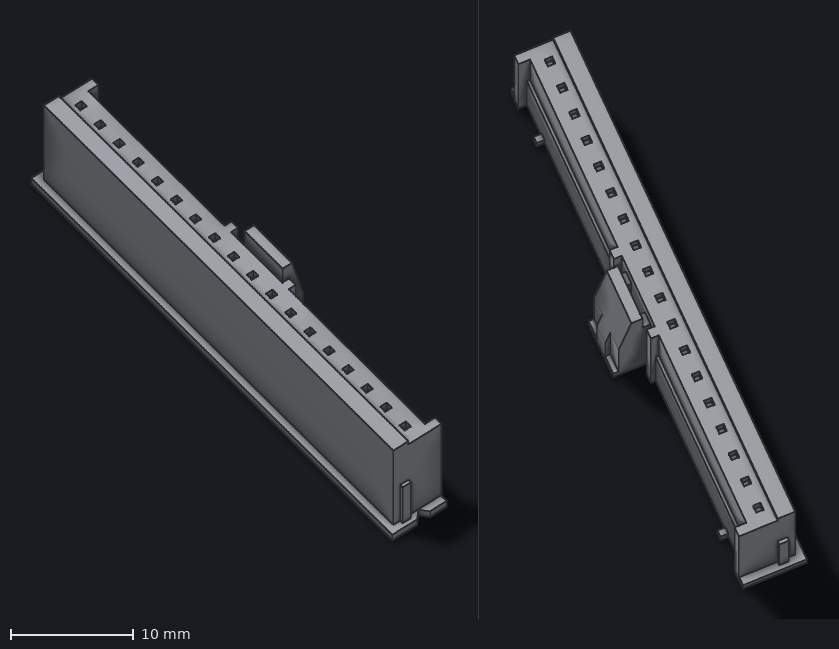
import cadquery as cq

length = 47.3
depth = 8.0
height = 10.5

flange_thickness = 0.75
flange_end_back = 5.68

body_length = 45.8
body_front = 0.7
body_back = 4.7
lip_back = 2.25
lip_height = 0.43
body_top = height - lip_height

wall_back = 4.95
wall_top = 5.45

post_width = 0.85
post_back = 5.7

contact_count = 18
contact_pitch = 2.497
contact_size = 0.65
contact_depth = 0.95
contact_y = 3.25

rib_thickness = 0.35
rib_front = 1.4
rib_top = wall_top
tab_width = 0.6
tab_x = 7.5 * contact_pitch

latch_width = 5.0
latch_front = 5.4
latch_top_back = 6.4
latch_slope_start = 3.6
relief_width = 1.65
relief_depth = 0.45
arm_width = 1.15
arm_top = 8.5
guide_width = 0.85
guide_x = 3.8

notch_half_width = 0.65
notch_depth = (length - body_length) / 2

body_end = body_length / 2


def block(x_limits, y_limits, z_limits):
    """Axis-aligned box given by its lower and upper limit on each axis."""
    limits = (x_limits, y_limits, z_limits)
    sizes = [upper - lower for lower, upper in limits]
    corner = tuple(lower for lower, upper in limits)
    return cq.Workplane("XY").box(*sizes, centered=False).translate(corner)


def centred(middle, width):
    """Lower and upper limit of a span about its middle."""
    return (middle - width / 2, middle + width / 2)


def make_flange():
    plate = block(centred(0, length), (0, flange_end_back), (0, flange_thickness))
    back_cut = block(centred(0, body_length), (wall_back, flange_end_back), (0, flange_thickness))
    notch = (
        cq.Workplane("XY")
        .moveTo(length / 2 - notch_depth, contact_y)
        .lineTo(length / 2, contact_y - notch_half_width)
        .lineTo(length / 2, contact_y + notch_half_width)
        .close()
        .extrude(flange_thickness)
    )
    return plate.cut(back_cut).cut(notch)


def make_body():
    core = block(centred(0, body_length), (body_front, body_back), (0, body_top))
    lip = block(centred(0, body_length), (body_front, lip_back), (body_top, height))
    wall = block(centred(0, body_length), (body_back, wall_back), (0, wall_top))
    return core.union(lip).union(wall)


def make_latch():
    latch = (
        cq.Workplane("YZ")
        .moveTo(latch_front, 0)
        .lineTo(depth, 0)
        .lineTo(depth, latch_slope_start)
        .lineTo(latch_top_back, height)
        .lineTo(latch_front, height)
        .close()
        .extrude(latch_width / 2, both=True)
    )
    for side in (-1, 1):
        relief_x = side * (latch_width - relief_width) / 2
        relief = block(
            centred(relief_x, relief_width), (depth - relief_depth, depth), (flange_thickness, height)
        )
        arm_x = side * (latch_width - arm_width) / 2
        arm = block(centred(arm_x, arm_width), (body_back, latch_front), (0, arm_top))
        latch = latch.cut(relief).union(arm)
    return latch


result = make_flange().union(make_body()).union(make_latch())

for side in (-1, 1):
    post_x = side * (body_end - post_width / 2)
    rib_x = side * (body_end + rib_thickness / 2)
    result = (
        result
        .union(block(centred(post_x, post_width), (body_front, post_back), (0, body_top)))
        .union(block(centred(rib_x, rib_thickness), (rib_front, lip_back), (0, rib_top)))
        .union(block(centred(side * tab_x, tab_width), (body_back, flange_end_back), (0, flange_thickness)))
        .union(block(centred(side * guide_x, guide_width), (body_back, latch_front), (0, body_top)))
    )

for index in range(contact_count):
    contact_x = (index - (contact_count - 1) / 2) * contact_pitch
    opening = block(
        centred(contact_x, contact_size),
        centred(contact_y, contact_size),
        (body_top - contact_depth, body_top),
    )
    result = result.cut(opening)